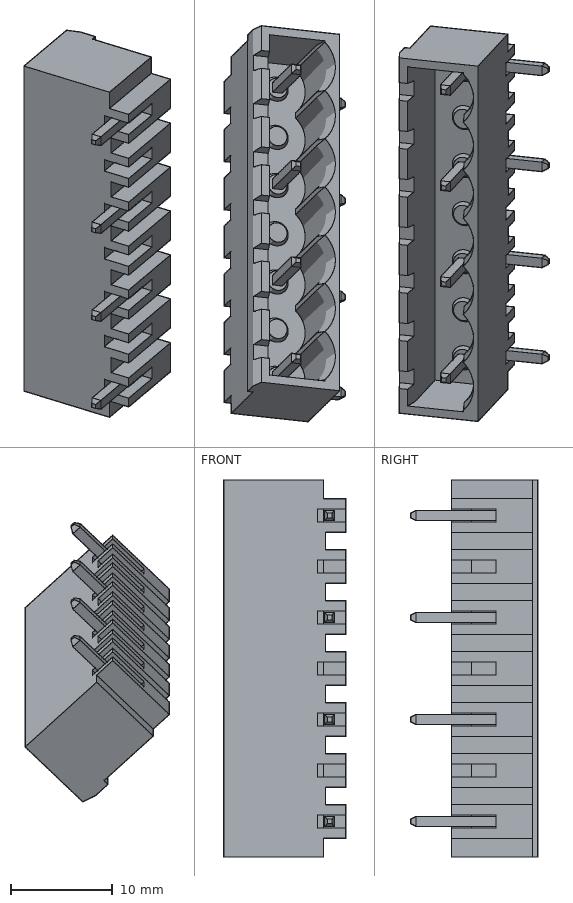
import cadquery as cq
import math


positions = 7
pitch = 5.0
length = 37.0
row_z = [(i - (positions - 1) / 2) * pitch for i in range(positions)]
contact_z = row_z[::2]

body_depth = 9.8
rear_x = 12.0
body_top = 7.95
overall_y = 12.5
pin_reach = 4.0
rib_top = overall_y - pin_reach
rib_mouth_y = 8.1
rib_slope_end = 1.35
rib_end = 3.05

cavity_floor_x = 8.0
cavity_half_length = 17.65
lead_in = 1.5
cavity_top_mouth = 7.25
cavity_top_inner = 6.92
scallop_mouth_radius = 3.45
scallop_radius = 3.0
crest_y = 1.88

notch_depth = 1.25
notch_mouth_width = 1.85
notch_floor_width = 1.56

tooth_width = 3.3
gap_width = pitch - tooth_width
comb_half_length = row_z[-1] + tooth_width / 2
gap_start_x = 10.0
slot_width = 1.3
slot_start_x = 9.2
slot_shallow_depth = 2.0

contact_width = 1.0
contact_y = 3.9
contact_front_x = 1.2
pin_x = 10.4
tip_length = 0.55
tip_width = 0.45
boss_base_radius = 1.25
boss_top_radius = 1.0
boss_height = 0.4

crest_mouth_y = contact_y - math.sqrt(scallop_mouth_radius**2 - (pitch / 2) ** 2)
slot_deep_depth = contact_y + contact_width / 2


def box(x0, x1, y0, y1, z0, z1):
    """Axis-aligned block between opposite corners."""
    return cq.Workplane("XY").box(x1 - x0, y1 - y0, z1 - z0, centered=False).translate((x0, y0, z0))


def make_body():
    """Housing profile with the sloped rib along its top, plus the rear comb plate."""
    profile = [
        (0, 0),
        (body_depth, 0),
        (body_depth, body_top),
        (rib_end, body_top),
        (rib_end, rib_top),
        (rib_slope_end, rib_top),
        (0, rib_mouth_y),
    ]
    body = cq.Workplane("XY").polyline(profile).close().extrude(length / 2, both=True)
    comb = box(body_depth, rear_x, 0, body_top, -comb_half_length, comb_half_length)
    return body.union(comb)


def make_scallop(z):
    """Round relief about one contact axis: conical at the mouth, then cylindrical."""
    profile = [
        (0, 0),
        (0, scallop_mouth_radius),
        (lead_in, scallop_radius),
        (cavity_floor_x, scallop_radius),
        (cavity_floor_x, 0),
    ]
    round_cut = cq.Workplane("XY").polyline(profile).close().revolve(360, (0, 0, 0), (1, 0, 0))
    round_cut = round_cut.translate((0, contact_y, z))
    low_z = max(z - pitch / 2, -cavity_half_length)
    high_z = min(z + pitch / 2, cavity_half_length)
    return round_cut.intersect(box(0, cavity_floor_x, 0, contact_y, low_z, high_z))


def make_cavity():
    """Long cavity with a lead-in at the mouth and one scallop per position."""
    profile = [
        (0, crest_mouth_y),
        (lead_in, crest_y),
        (cavity_floor_x, crest_y),
        (cavity_floor_x, cavity_top_inner),
        (lead_in, cavity_top_inner),
        (0, cavity_top_mouth),
    ]
    cavity = cq.Workplane("XY").polyline(profile).close().extrude(cavity_half_length, both=True)
    for z in row_z:
        cavity = cavity.union(make_scallop(z))
    return cavity


def make_notch(z):
    """Notch through the top wall, narrowing towards its floor."""
    profile = [
        (0, z - notch_mouth_width / 2),
        (notch_depth, z - notch_floor_width / 2),
        (notch_depth, z + notch_floor_width / 2),
        (0, z + notch_mouth_width / 2),
    ]
    notch = cq.Workplane("XZ", origin=(0, rib_top, 0)).polyline(profile).close()
    return notch.extrude(rib_top - cavity_top_inner)


def make_slot(z):
    """Stepped contact slot, open at the board face and the rear face."""
    low, high = z - slot_width / 2, z + slot_width / 2
    shallow = box(slot_start_x, body_depth, 0, slot_shallow_depth, low, high)
    deep = box(body_depth, rear_x, 0, slot_deep_depth, low, high)
    return shallow.union(deep)


def make_gap(z):
    """Gap between neighbouring comb teeth."""
    return box(gap_start_x, rear_x, 0, body_top, z - gap_width / 2, z + gap_width / 2)


def make_boss(z):
    """Conical collar on the cavity floor."""
    cone = cq.Solid.makeCone(
        boss_base_radius,
        boss_top_radius,
        boss_height,
        pnt=cq.Vector(cavity_floor_x, contact_y, z),
        dir=cq.Vector(-1, 0, 0),
    )
    return cq.Workplane(cone)


def make_leg(plane, reach):
    """Square bar from the plane origin along its normal, with a blunt pyramid tip."""
    bar = cq.Workplane(plane).rect(contact_width, contact_width).extrude(reach - tip_length)
    tip = cq.Workplane(plane).workplane(offset=reach - tip_length).rect(contact_width, contact_width)
    tip = tip.workplane(offset=tip_length).rect(tip_width, tip_width).loft(combine=False)
    return bar.union(tip)


def make_contact(z):
    """Right-angle contact: one leg into the cavity, the other down to the board."""
    corner_x = pin_x + contact_width / 2
    corner_y = contact_y + contact_width / 2
    mating_plane = cq.Plane((corner_x, contact_y, z), xDir=(0, 1, 0), normal=(-1, 0, 0))
    board_plane = cq.Plane((pin_x, corner_y, z), xDir=(1, 0, 0), normal=(0, -1, 0))
    mating = make_leg(mating_plane, corner_x - contact_front_x)
    board = make_leg(board_plane, corner_y + pin_reach)
    return mating.union(board)


result = make_body().cut(make_cavity())
for z in row_z:
    result = result.cut(make_notch(z)).cut(make_slot(z)).union(make_boss(z))
for z in row_z[:-1]:
    result = result.cut(make_gap(z + pitch / 2))
for z in contact_z:
    result = result.union(make_contact(z))